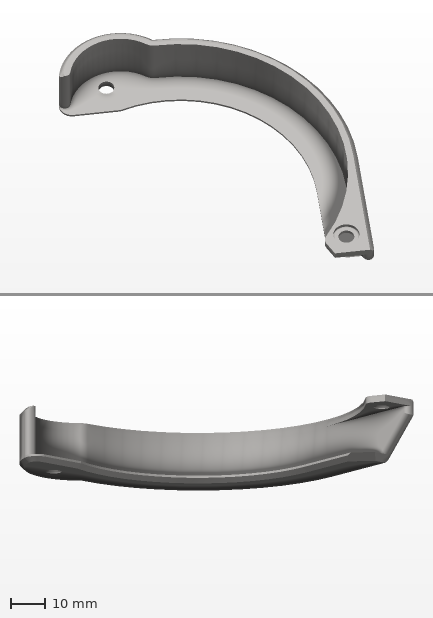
import cadquery as cq
import math

height = 16.7
floor_thickness = 2.0
lip_thickness = 2.0
wall_thickness = 3.3
edge_chamfer = 1.35

main_radius = 52.0
floor_inner_radius = 40.0
main_arc_middle_angle = 120
arm_angle = 18.0
arm_length = 36.36

bulge_radius = 18.0
bulge_corner_radius = 3.8
wall_end_angle = 242.0
wall_end_fillet = 1.5
inner_corner_fillet = 4.0

tip_foot_across = 40.35
tip_angle = 32.7
tip_fillet = 2.6

slant_start = 24.2
floor_bevel = 5.0

hole_diameter = 4.6
counterbore_diameter = 7.6
counterbore_depth = 1.0
lip_hole_along = 29.7
lip_hole_across = 44.6
pivot_hole_offset = 9.4

wall_inner_radius = main_radius - wall_thickness
bulge_inner_radius = bulge_radius - wall_thickness
bulge_x = -floor_inner_radius
lip_underside = height - lip_thickness
slant_top = arm_length - slant_start
bulge_end_angle = 270 - arm_angle
reach = 2 * main_radius

corner_ring = bulge_radius - bulge_corner_radius
corner_angle = bulge_end_angle - math.degrees(math.asin(bulge_corner_radius / corner_ring))


def polar(radius, degrees, center=(0, 0)):
    """XY position at a radius and an angle from a centre."""
    angle = math.radians(degrees)
    return (center[0] + radius * math.cos(angle), center[1] + radius * math.sin(angle))


bulge_center = (bulge_x, 0)
corner_center = polar(corner_ring, corner_angle, bulge_center)
corner_middle = polar(bulge_corner_radius, (corner_angle + bulge_end_angle + 90) / 2, corner_center)
tip_point = polar(wall_inner_radius, tip_angle)


def arm_point(along, across):
    """XY position from a distance along the arm and a distance from the origin across it."""
    angle = math.radians(arm_angle)
    x = along * math.cos(angle) + across * math.sin(angle)
    y = across * math.cos(angle) - along * math.sin(angle)
    return (x, y)


def arc_meeting(main_circle_radius, bulge_circle_radius):
    """Upper meeting point of a circle about the origin and one about the bulge centre."""
    x = (main_circle_radius**2 - bulge_circle_radius**2 + bulge_x**2) / (2 * bulge_x)
    return (x, math.sqrt(main_circle_radius**2 - x**2))


def outer_wall_end():
    """XY position where the wall's end face meets the rounded corner of the bulge."""
    turn = math.radians(wall_end_angle - corner_angle)
    sideways = corner_ring * math.sin(turn)
    distance = corner_ring * math.cos(turn) + math.sqrt(bulge_corner_radius**2 - sideways**2)
    return polar(distance, wall_end_angle, bulge_center)


def prism(sketch, bottom, top):
    return sketch.extrude(top - bottom).translate((0, 0, bottom))


def cylinder(diameter, center, bottom, top):
    return prism(cq.Workplane("XY").center(*center).circle(diameter / 2), bottom, top)


def polygon_prism(corners, bottom, top):
    return prism(cq.Workplane("XY").polyline(corners).close(), bottom, top)


def upper_half_disc(radius, bottom, top):
    """Half disc about the origin, on the +Y side."""
    sketch = cq.Workplane("XY").moveTo(radius, 0).threePointArc((0, radius), (-radius, 0)).close()
    return prism(sketch, bottom, top)


def arm_block(across, bottom, top):
    """Block beside the arm, from the origin out to a distance across it."""
    corners = [arm_point(0, 0), arm_point(reach, 0), arm_point(reach, across), arm_point(0, across)]
    return polygon_prism(corners, bottom, top)


def edges_through(body, points):
    """The body with the edges selected that pass through the given XYZ positions."""
    probes = [cq.Vertex.makeVertex(*point) for point in points]
    found = []
    for edge in body.edges().vals():
        if any(edge.distance(probe) < 0.001 for probe in probes):
            found.append(edge)
    return body.newObject(found)


def at_height(points, z):
    return [(x, y, z) for x, y in points]


def make_outline():
    """Outline of the whole part, closed along straight lines through the origin."""
    junction = arc_meeting(main_radius, bulge_radius)
    straight_edge = math.sqrt(corner_ring**2 - bulge_corner_radius**2)
    tip_foot = arm_point(arm_length, tip_foot_across)
    tip_run_out = (2 * tip_point[0] - tip_foot[0], 2 * tip_point[1] - tip_foot[1])
    return (
        cq.Workplane("XY")
        .moveTo(*junction)
        .threePointArc(polar(main_radius, main_arc_middle_angle), arm_point(0, main_radius))
        .lineTo(*arm_point(arm_length, main_radius))
        .lineTo(*tip_foot)
        .lineTo(*tip_run_out)
        .lineTo(0, 0)
        .lineTo(*bulge_center)
        .lineTo(*polar(straight_edge, bulge_end_angle, bulge_center))
        .threePointArc(corner_middle, polar(bulge_radius, corner_angle, bulge_center))
        .threePointArc((bulge_x - bulge_radius, 0), junction)
        .close()
    )


def make_block():
    """Solid block with the floor's inner edge cut and the edges chamfered."""
    outer_points = [
        polar(main_radius, main_arc_middle_angle),
        arm_point(arm_length / 2, main_radius),
        (bulge_x - bulge_radius, 0),
        corner_middle,
    ]
    floor_inner_points = [
        polar(floor_inner_radius, main_arc_middle_angle),
        arm_point(arm_length / 2, floor_inner_radius),
        polar(bulge_radius / 2, bulge_end_angle, bulge_center),
    ]
    block = make_outline().extrude(height)
    block = edges_through(block, at_height(outer_points, height)).chamfer(edge_chamfer)
    block = block.cut(upper_half_disc(floor_inner_radius, 0, floor_thickness))
    block = block.cut(arm_block(floor_inner_radius, 0, floor_thickness))
    bottom_points = at_height(outer_points + floor_inner_points, 0)
    return edges_through(block, bottom_points).chamfer(edge_chamfer)


def cut_cavity(body):
    """Hollow above the floor, leaving the wall and the lip over the arm."""
    beyond_wall_end = [bulge_center, polar(reach, wall_end_angle, bulge_center), (reach, -reach)]
    body = body.cut(upper_half_disc(wall_inner_radius, floor_thickness, height))
    body = body.cut(cylinder(2 * bulge_inner_radius, bulge_center, floor_thickness, height))
    body = body.cut(polygon_prism(beyond_wall_end, floor_thickness, height))
    return body.cut(arm_block(wall_inner_radius, floor_thickness, lip_underside))


def slanted_prism(start, run, top, length, half_width):
    """Prism along X, behind a plane that rises from the start to the top over the given run."""
    profile = [(start, 0), (start + run, top), (start + length, top), (start + length, 0)]
    return cq.Workplane("XZ").polyline(profile).close().extrude(half_width, both=True)


def turn_to_arm(tool):
    return tool.rotate((0, 0, 0), (0, 0, 1), -arm_angle)


def cut_arm_end(body):
    """Slant the arm end below the lip, and bevel the floor's inner end corner."""
    slant = slanted_prism(slant_start, lip_underside, lip_underside, reach, reach)
    body = body.cut(turn_to_arm(slant))
    bevel_start = slant_start + floor_thickness - floor_bevel
    run = math.sqrt(2) * floor_thickness
    size = 2 * floor_bevel
    bevel = slanted_prism(-run, run, floor_thickness, size, size)
    bevel = bevel.rotate((0, 0, 0), (0, 0, 1), -45).translate((bevel_start, floor_inner_radius, 0))
    return body.cut(turn_to_arm(bevel))


def round_wall(body):
    """Round both ends of the wall and its inner corner beside the bulge."""
    arm_end_middle = (slant_top + lip_underside) / 2
    slant_middle = (slant_top + floor_thickness) / 2
    wall_middle = height / 2
    arm_end_points = []
    for across in (main_radius, wall_inner_radius):
        arm_end_points.append((*arm_point(arm_length, across), arm_end_middle))
        arm_end_points.append((*arm_point(slant_start + slant_middle, across), slant_middle))
    bulge_end_points = at_height(
        [polar(bulge_inner_radius, wall_end_angle, bulge_center), outer_wall_end()], wall_middle
    )
    inner_corner = (*arc_meeting(wall_inner_radius, bulge_inner_radius), wall_middle)
    body = edges_through(body, arm_end_points).fillet(wall_end_fillet)
    body = edges_through(body, bulge_end_points).fillet(wall_end_fillet)
    return edges_through(body, [inner_corner]).fillet(inner_corner_fillet)


def round_tip(body):
    return edges_through(body, [(*tip_point, height - lip_thickness / 2)]).fillet(tip_fillet)


def cut_holes(body):
    """Counterbored hole through the lip and plain pivot hole through the floor."""
    lip_hole = arm_point(lip_hole_along, lip_hole_across)
    pivot_hole = (bulge_x - pivot_hole_offset, 0)
    body = body.cut(cylinder(hole_diameter, lip_hole, lip_underside, height))
    body = body.cut(cylinder(counterbore_diameter, lip_hole, height - counterbore_depth, height))
    return body.cut(cylinder(hole_diameter, pivot_hole, 0, floor_thickness))


part = cut_arm_end(cut_cavity(make_block()))
part = round_tip(round_wall(part))
result = cut_holes(part)